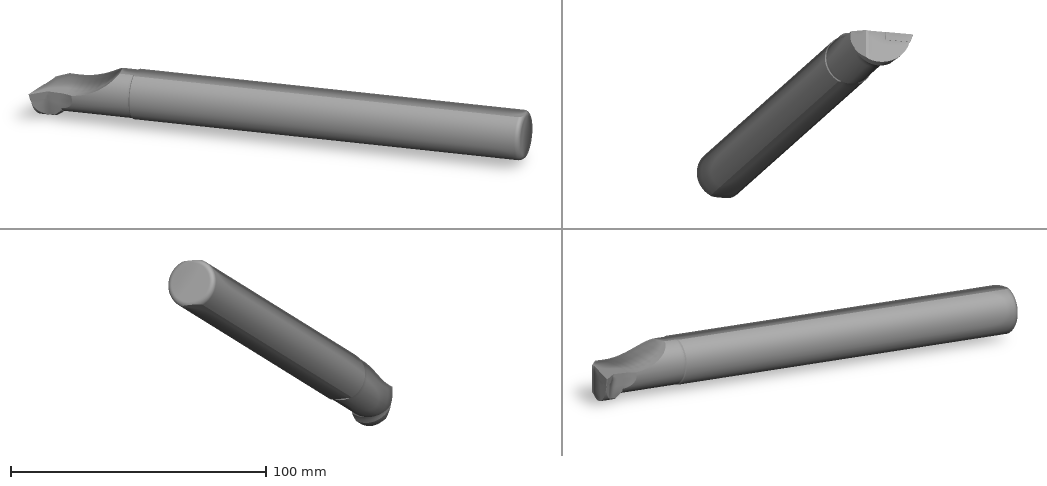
import cadquery as cq
import math


bar_length = 200.0
shank_radius = 10.0
flat_height = 9.0
shank_start = 40.0
shank_front_chamfer = 0.4
shank_end_fillet = 2.0
neck_radius = shank_radius - shank_front_chamfer

head_bottom = -11.25
head_radius = 10.65
head_center_y = -1.3
head_center_z = head_bottom + head_radius
head_taper_start = 8.8
head_taper_end = 11.6
head_end_radius = 8.9

tip_y = -13.0
rake_slope_x = -0.03
rake_slope_y = 0.105

gullet_center_x = -25.0
gullet_flat_radius = 40.0
gullet_rim_radius = 25.0

insert_angle = 35.0
insert_inscribed_diameter = 6.35
insert_edge = insert_inscribed_diameter / math.sin(math.radians(insert_angle))
insert_thickness = 3.18
insert_clearance = 5.0
nose_radius = 0.2
front_edge_lean = 17.5
front_edge_angle = 90.0 - front_edge_lean
side_edge_angle = front_edge_angle - insert_angle

front_setback = 0.3
front_corner_y = 3.6
front_land_end_y = 4.8
side_face_y = -8.25
side_face_lean = 10.0
side_setback = 0.5
side_corner_radius = 3.0
side_face_end = 11.5
side_runout_radius = 10.0

cut_margin = 30.0


def along(angle, length=1.0):
    """Vector of the given length at an angle in degrees from the X axis."""
    return (length * math.cos(math.radians(angle)), length * math.sin(math.radians(angle)))


nose_center_distance = nose_radius / math.sin(math.radians(insert_angle / 2))
nose_offset_x, nose_offset_y = along(side_edge_angle + insert_angle / 2, nose_center_distance)
sharp_x = nose_radius - nose_offset_x
sharp_y = tip_y + nose_radius - nose_offset_y

rake_normal = cq.Vector(-rake_slope_x, -rake_slope_y, 1).normalized()
rake_x = cq.Vector(1, 0, rake_slope_x).normalized()
rake_y = rake_normal.cross(rake_x)


def rake_point(x, y):
    """Point of the rake plane, which passes through the cutting tip at z = 0."""
    return cq.Vector(x, y, rake_slope_x * x + rake_slope_y * (y - tip_y))


def rod(start, end, radius, y=0.0, z=0.0):
    """Cylinder along X."""
    return cq.Workplane("YZ", origin=(start, y, z)).circle(radius).extrude(end - start)


def make_shank():
    """Round shank with a chamfered front edge and a rounded rear edge."""
    shank = rod(shank_start, bar_length, shank_radius)
    shank = shank.faces("<X").chamfer(shank_front_chamfer)
    shank = shank.faces(">X").edges().fillet(shank_end_fillet)
    return shank


def make_head():
    """Eccentric cylinder that tapers into the neck."""
    taper = (
        cq.Workplane("YZ", origin=(head_taper_start, head_center_y, head_center_z))
        .circle(head_radius)
        .workplane(offset=head_taper_end - head_taper_start)
        .circle(head_end_radius)
        .loft()
    )
    return rod(0, head_taper_start, head_radius, head_center_y, head_center_z).union(taper)


def make_gullet_cutter():
    """Disc with an upward curved rim, standing on the rake plane."""
    plane = cq.Plane(origin=rake_point(gullet_center_x, 0), xDir=rake_x, normal=-rake_y)
    rim = gullet_flat_radius + gullet_rim_radius
    return (
        cq.Workplane(plane)
        .lineTo(gullet_flat_radius, 0)
        .radiusArc((rim, gullet_rim_radius), -gullet_rim_radius)
        .lineTo(0, gullet_rim_radius)
        .close()
        .revolve(360, (0, 0), (0, 1))
    )


def make_front_cutter():
    """Removes everything in front of the holder's front face, land and 45 degree corner."""
    face_x = sharp_x + front_setback
    lean = math.tan(math.radians(front_edge_lean))
    land_x = face_x + lean * (front_corner_y - sharp_y)
    return (
        cq.Workplane("XY", origin=(0, 0, -cut_margin))
        .moveTo(face_x - lean * cut_margin, sharp_y - cut_margin)
        .lineTo(land_x, front_corner_y)
        .lineTo(land_x, front_land_end_y)
        .lineTo(land_x + cut_margin - front_land_end_y, cut_margin)
        .lineTo(-cut_margin, cut_margin)
        .lineTo(-cut_margin, sharp_y - cut_margin)
        .close()
        .extrude(2 * cut_margin)
    )


def make_side_cutter():
    """Removes the side of the head below the side cutting edge, with a curved run-out."""
    slope = math.tan(math.radians(side_edge_angle))
    edge_y = sharp_y + side_setback
    corner_x = sharp_x + (side_face_y - edge_y) / slope
    tangent = side_corner_radius * math.tan(math.radians(side_edge_angle / 2))
    step_x, step_y = along(side_edge_angle, tangent)
    outer_y = side_face_y - side_runout_radius
    start_x = sharp_x - (edge_y - outer_y) / slope
    profile = (
        cq.Workplane("XY", origin=(0, 0, -cut_margin))
        .moveTo(start_x, outer_y)
        .lineTo(corner_x - step_x, side_face_y - step_y)
        .radiusArc((corner_x + tangent, side_face_y), side_corner_radius)
        .lineTo(side_face_end, side_face_y)
        .radiusArc((side_face_end + side_runout_radius, outer_y), side_runout_radius)
        .close()
    )
    cutter = profile.extrude(2 * cut_margin)
    return cutter.rotate((0, side_face_y, 0), (1, side_face_y, 0), side_face_lean)


def make_insert():
    """Rhombic insert with its top on the rake plane; its sides lean in towards the bottom."""
    front_x, front_y = along(front_edge_angle, insert_edge)
    side_x, side_y = along(side_edge_angle, insert_edge)
    plane = cq.Plane(origin=rake_point(sharp_x, sharp_y), xDir=rake_x, normal=rake_normal)
    corners = [(0, 0), (side_x, side_y), (side_x + front_x, side_y + front_y), (front_x, front_y)]
    blank = cq.Workplane(plane).polyline(corners).close()
    insert = blank.extrude(-insert_thickness, taper=insert_clearance)
    nose_edge = cq.selectors.NearestToPointSelector(
        (rake_point(sharp_x, sharp_y) - rake_normal * (insert_thickness / 2)).toTuple()
    )
    return insert.edges(nose_edge).fillet(nose_radius)


def make_holder(insert):
    """Bar with its head, cut to shape and recessed for the insert."""
    flat_size = (2 * bar_length, 2 * cut_margin)
    between_flats = cq.Workplane("XY").box(*flat_size, 2 * flat_height)
    above_flat = cq.Workplane("XY", origin=(0, 0, flat_height)).rect(*flat_size).extrude(cut_margin)
    neck = rod(0, shank_start, neck_radius).cut(above_flat)
    holder = make_shank().intersect(between_flats).union(neck).union(make_head())
    for cutter in (make_gullet_cutter(), make_front_cutter(), make_side_cutter(), insert):
        holder = holder.cut(cutter)
    return holder


insert = make_insert()
holder = make_holder(insert)

result = cq.Compound.makeCompound([holder.val(), insert.val()])